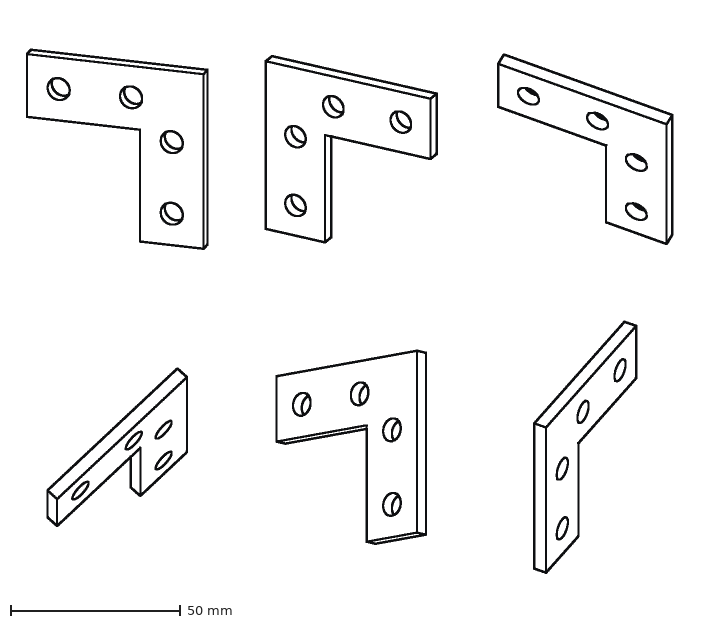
import cadquery as cq

leg_length = 55.0
leg_width = 19.8
thickness = 4.0
hole_diameter = 6.8
hole_spacing = 22.55

edge_distance = leg_width / 2
inner_hole_distance = edge_distance + hole_spacing


def l_plate():
    """Flat L with its outer corner at +X, +Z and its front face at Y = 0."""
    outline = [
        (0, leg_length),
        (leg_length, leg_length),
        (leg_length, 0),
        (leg_length - leg_width, 0),
        (leg_length - leg_width, leg_length - leg_width),
        (0, leg_length - leg_width),
    ]
    return cq.Workplane("XZ").polyline(outline).close().extrude(-thickness)


def screw_holes():
    """Through-hole cylinders, two along each leg."""
    centres = []
    for distance in (edge_distance, inner_hole_distance):
        centres.append((distance, leg_length - edge_distance))
        centres.append((leg_length - edge_distance, distance))
    return cq.Workplane("XZ").pushPoints(centres).circle(hole_diameter / 2).extrude(-thickness)


result = l_plate().cut(screw_holes())